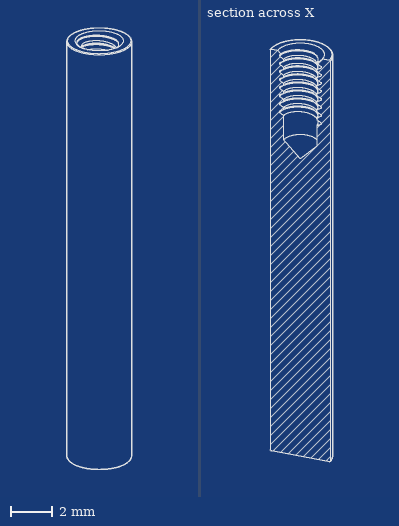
import cadquery as cq
import math

length = 22.23
radius = 1.59
end_chamfer = 0.05

minor_radius = 0.87
major_radius = 1.1
mouth_radius = 1.18
drill_depth = 4.9
drill_tip_angle = 90.0

thread_pitch = 0.45
thread_turns = 9
flank_angle = 30.0
root_flat = thread_pitch / 8
start_angle = 132.0
profile_overlap = 0.05


def make_rod():
    rod = cq.Workplane("XY").circle(radius).extrude(length)
    return rod.faces("<Z or >Z").chamfer(end_chamfer)


def make_drilled_hole():
    """Bore with a conical bottom and a 45 degree countersunk mouth."""
    countersink_depth = mouth_radius - minor_radius
    tip_height = minor_radius / math.tan(math.radians(drill_tip_angle / 2))
    half_section = [
        (0, length),
        (mouth_radius, length),
        (minor_radius, length - countersink_depth),
        (minor_radius, length - drill_depth),
        (0, length - drill_depth - tip_height),
    ]
    return cq.Workplane("XZ").polyline(half_section).close().revolve(360, (0, 0, 0), (0, 1, 0))


def make_thread_groove():
    """Sweep the V-shaped groove along a helix whose last turn runs out through the top face."""
    inner_radius = minor_radius - profile_overlap
    root_half = root_flat / 2
    inner_half = root_half + (major_radius - inner_radius) * math.tan(math.radians(flank_angle))
    groove_profile = [
        (inner_radius, -inner_half),
        (major_radius, -root_half),
        (major_radius, root_half),
        (inner_radius, inner_half),
    ]
    thread_height = thread_turns * thread_pitch
    helix = cq.Wire.makeHelix(thread_pitch, thread_height, minor_radius)
    groove = cq.Workplane("XZ").polyline(groove_profile).close().sweep(cq.Workplane(helix), isFrenet=True)
    lowest_turn = length + thread_pitch / 2 - thread_height
    return groove.rotate((0, 0, 0), (0, 0, 1), start_angle).translate((0, 0, lowest_turn))


result = make_rod().cut(make_thread_groove()).cut(make_drilled_hole())